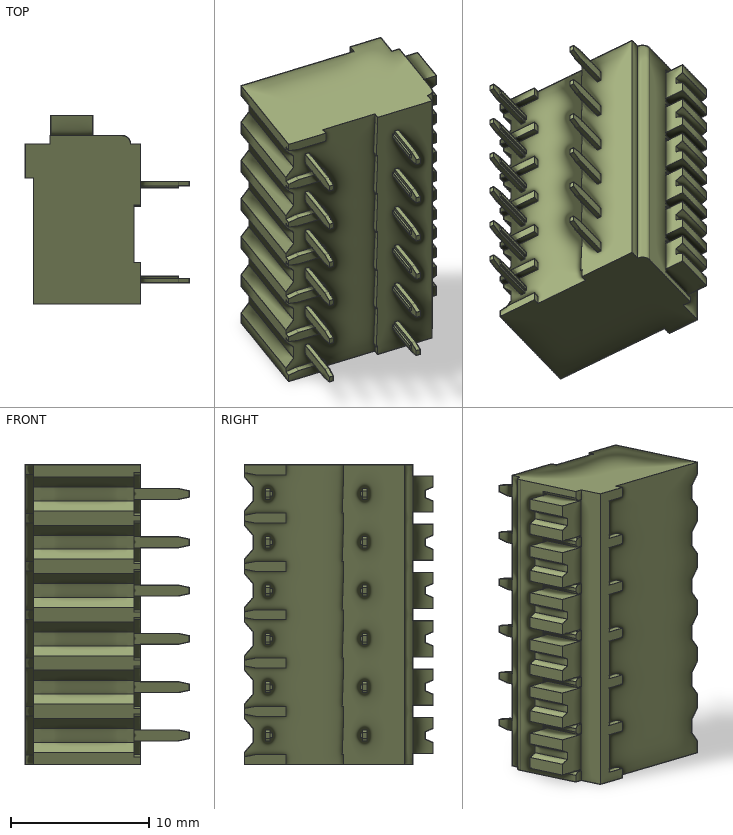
import cadquery as cq

pole_count = 6
pitch = 3.5
height = 21.7
first_pole = (height - (pole_count - 1) * pitch) / 2
pole_centers = [first_pole + pole * pitch for pole in range(pole_count)]

flange = 0.6
mount_face = 8.35
recess_face = 7.9
foot_depth = 3.02
rear_step = 7.18
flange_front = 9.11
shoulder = 11.59
rear_face = 12.2
bar_start = 1.8
bar_end = 7.64
bar_round = rear_face - shoulder

window_height = 2.8
window_rear = 10.57

groove_mouth = 2.45
groove_floor = 1.0
groove_depth = 0.63

gap_mouth = 3.08
gap_floor = 2.78
gap_taper = 0.8
rear_slant = 0.1

lever_start = 1.85
lever_end = 4.9
lever_height = 2.63
lever_tip = 13.65
notch_mouth = 1.02
notch_floor = 0.52
notch_depth = 0.56
slot_chamfer = 0.22

pin_end = 11.9
pin_width = 0.8
pin_tip_width = 0.45
pin_taper = 0.8
pin_thickness = 0.33
pin_rib_height = 0.15
pin_rib_width = 0.33
pin_root = 7.38
front_pin = 1.55
rear_pin = 8.88


def box(x_range, y_range, z_range):
    sizes = [high - low for low, high in (x_range, y_range, z_range)]
    corner = (x_range[0], y_range[0], z_range[0])
    return cq.Workplane("XY").box(*sizes, centered=False).translate(corner)


def centered_on(z, size):
    return (z - size / 2, z + size / 2)


def prism_along_x(points, x_range):
    """Extrude a (Y, Z) outline over a range of X."""
    length = x_range[1] - x_range[0]
    return cq.Workplane("YZ", origin=(x_range[0], 0, 0)).polyline(points).close().extrude(length)


def tapered_channel(z, x_range, y_mouth, y_floor, mouth, floor):
    """Symmetric trapezoid that runs along X."""
    points = [
        (y_mouth, z - mouth / 2),
        (y_floor, z - floor / 2),
        (y_floor, z + floor / 2),
        (y_mouth, z + mouth / 2),
    ]
    return prism_along_x(points, x_range)


def housing():
    return (
        cq.Workplane("XY")
        .moveTo(flange, 0)
        .lineTo(mount_face, 0)
        .lineTo(mount_face, foot_depth)
        .lineTo(recess_face, foot_depth)
        .lineTo(recess_face, rear_step)
        .lineTo(mount_face, rear_step)
        .lineTo(mount_face, shoulder)
        .lineTo(bar_end, shoulder)
        .radiusArc((bar_end - bar_round, rear_face), -bar_round)
        .lineTo(bar_start, rear_face)
        .lineTo(bar_start, shoulder)
        .lineTo(0, shoulder)
        .lineTo(0, flange_front)
        .lineTo(flange, flange_front)
        .close()
        .extrude(height)
    )


def flange_window(z):
    return box((0, flange), (flange_front, window_rear), centered_on(z, window_height))


def front_groove(z):
    return tapered_channel(z, (flange, recess_face), 0, groove_depth, groove_mouth, groove_floor)


def foot_gap(z):
    x_range = (recess_face, mount_face)
    mouth = tapered_channel(z, x_range, 0, gap_taper, gap_mouth, gap_floor)
    return mouth.union(box(x_range, (gap_taper, foot_depth), centered_on(z, gap_floor)))


def slanted_step(z):
    """Wedge that makes the rear step face slightly upward behind a gap."""
    low, high = centered_on(z, gap_floor)
    points = [(rear_step, low), (rear_step - rear_slant, low), (rear_step, high)]
    return prism_along_x(points, (recess_face, mount_face))


def lever_slot(z):
    x_range = (bar_start, lever_end)
    slot = box(x_range, (shoulder, rear_face), centered_on(z, window_height))
    flared = window_height + 2 * slot_chamfer
    chamfer_start = rear_face - slot_chamfer
    return slot.union(tapered_channel(z, x_range, rear_face, chamfer_start, flared, window_height))


def lever(z):
    x_range = (lever_start, lever_end)
    body = box(x_range, (shoulder, lever_tip), centered_on(z, lever_height))
    return body.cut(
        tapered_channel(z, x_range, lever_tip, lever_tip - notch_depth, notch_mouth, notch_floor)
    )


def pin(z, y, rib_side):
    """Flat pin with a pointed end and a stiffening rib on its +Y (1) or -Y (-1) side."""
    taper_start = pin_end - pin_taper
    points = [
        (pin_root, z - pin_width / 2),
        (taper_start, z - pin_width / 2),
        (pin_end, z - pin_tip_width / 2),
        (pin_end, z + pin_tip_width / 2),
        (taper_start, z + pin_width / 2),
        (pin_root, z + pin_width / 2),
    ]
    inner = y + rib_side * pin_thickness
    crest = inner + rib_side * pin_rib_height
    blade = (
        cq.Workplane("XZ", origin=(0, max(y, inner), 0)).polyline(points).close().extrude(pin_thickness)
    )
    rib_range = (min(inner, crest), max(inner, crest))
    return blade.union(box((pin_root, taper_start), rib_range, centered_on(z, pin_rib_width)))


result = housing()
for z in pole_centers:
    for pocket in (flange_window(z), front_groove(z), foot_gap(z), lever_slot(z)):
        result = result.cut(pocket)
    for addition in (slanted_step(z), lever(z), pin(z, front_pin, 1), pin(z, rear_pin, -1)):
        result = result.union(addition)